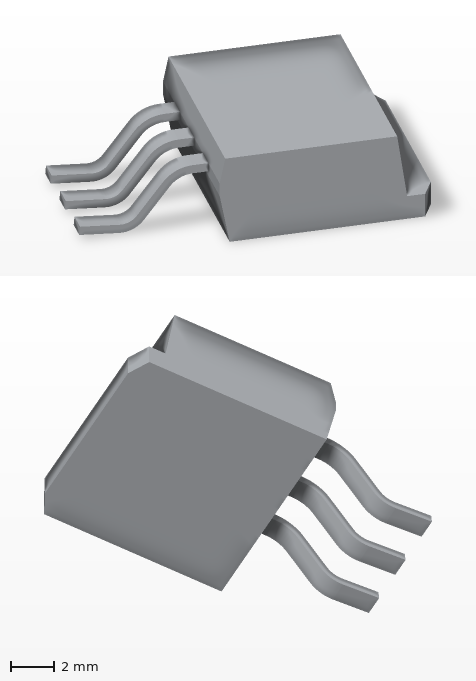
import cadquery as cq
import math


width = 10.15
height = 4.45
housing_depth = 9.02
band_bottom = 2.5
band_top = 3.16
front_top_inset = 0.27
front_bottom_inset = 0.48
back_top_inset = 0.48

tab_thickness = 1.2
tab_length = 1.42
tab_corner_width = 1.05
tab_corner_length = 0.55

lead_count = 3
lead_pitch = 2.55
lead_width = 1.0
lead_thickness = 0.43
total_length = 16.65
lead_reach = total_length - housing_depth - tab_length
shoulder_length = 0.75
shoulder_radius = 1.83
foot_radius = 0.93
foot_clearance = 0.07
slope_angle = 52.0
foot_angle = 5.0


def point_on_bend(center, radius, angle):
    """Point on a bend in the YZ plane; angle is measured from +Z toward -Y, in degrees."""
    turn = math.radians(angle)
    return (center[0] - radius * math.sin(turn), center[1] + radius * math.cos(turn))


def make_housing():
    back_top = housing_depth - back_top_inset
    profile = [
        (front_bottom_inset, 0),
        (0, band_bottom),
        (0, band_top),
        (front_top_inset, height),
        (back_top, height),
        (housing_depth, tab_thickness),
        (housing_depth, 0),
    ]
    return cq.Workplane("YZ").polyline(profile).close().extrude(width / 2, both=True)


def make_tab():
    half_width = width / 2
    tab_end = housing_depth + tab_length
    corner_start = tab_end - tab_corner_length
    outline = [
        (-half_width, housing_depth),
        (half_width, housing_depth),
        (half_width, corner_start),
        (half_width - tab_corner_width, tab_end),
        (tab_corner_width - half_width, tab_end),
        (-half_width, corner_start),
    ]
    return cq.Workplane("XY").polyline(outline).close().extrude(tab_thickness)


def make_lead(x):
    shoulder_inner = shoulder_radius - lead_thickness
    foot_outer = foot_radius + lead_thickness

    slope = math.radians(slope_angle)
    rise = math.radians(foot_angle)
    radii = shoulder_radius + foot_radius
    shoulder_center = (-shoulder_length, band_top - shoulder_radius)
    foot_center_z = foot_clearance + foot_outer
    center_drop = shoulder_center[1] - foot_center_z
    slope_length = (radii * math.cos(slope) + center_drop) / math.sin(slope)
    center_run = radii * math.sin(slope) + slope_length * math.cos(slope)
    foot_center = (shoulder_center[0] - center_run, foot_center_z)

    foot_start = 180 + slope_angle
    foot_end = 180 - foot_angle
    foot_middle = (foot_start + foot_end) / 2

    foot_bottom = point_on_bend(foot_center, foot_outer, foot_end)
    tip_bottom = (-lead_reach, foot_bottom[1] + (foot_bottom[0] + lead_reach) * math.tan(rise))
    tip_top = (
        tip_bottom[0] + lead_thickness * math.sin(rise),
        tip_bottom[1] + lead_thickness * math.cos(rise),
    )

    return (
        cq.Workplane("YZ", origin=(x, 0, 0))
        .moveTo(0, band_top)
        .lineTo(-shoulder_length, band_top)
        .threePointArc(
            point_on_bend(shoulder_center, shoulder_radius, slope_angle / 2),
            point_on_bend(shoulder_center, shoulder_radius, slope_angle),
        )
        .lineTo(*point_on_bend(foot_center, foot_radius, foot_start))
        .threePointArc(
            point_on_bend(foot_center, foot_radius, foot_middle),
            point_on_bend(foot_center, foot_radius, foot_end),
        )
        .lineTo(*tip_top)
        .lineTo(*tip_bottom)
        .lineTo(*foot_bottom)
        .threePointArc(
            point_on_bend(foot_center, foot_outer, foot_middle),
            point_on_bend(foot_center, foot_outer, foot_start),
        )
        .lineTo(*point_on_bend(shoulder_center, shoulder_inner, slope_angle))
        .threePointArc(
            point_on_bend(shoulder_center, shoulder_inner, slope_angle / 2),
            (-shoulder_length, band_top - lead_thickness),
        )
        .lineTo(0, band_top - lead_thickness)
        .close()
        .extrude(lead_width / 2, both=True)
    )


housing = make_housing()
tab = make_tab()
leads = []
for index in range(lead_count):
    lead_x = (index - (lead_count - 1) / 2) * lead_pitch
    leads.append(make_lead(lead_x).val())

result = cq.Compound.makeCompound([housing.val(), tab.val(), *leads])